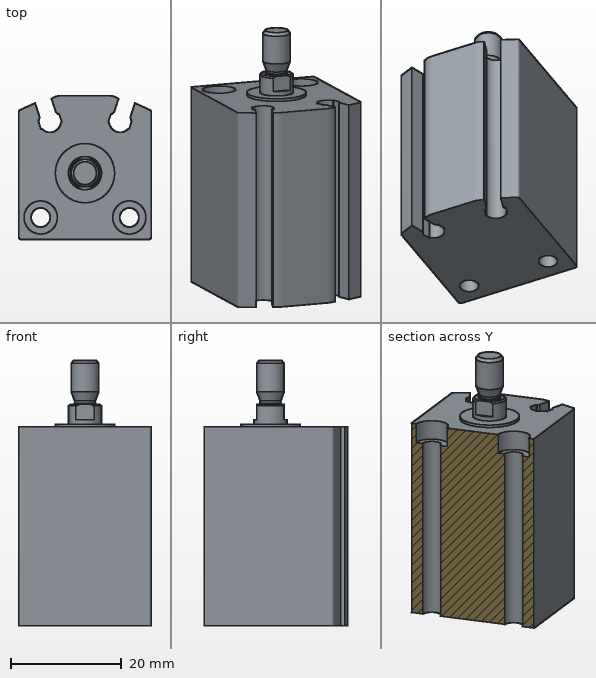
import cadquery as cq
import math

total_height = 48.0
housing_height = 36.0
width = 24.0
half_width = width / 2
front_y = -half_width
back_y = 14.0
corner_radius = 0.5

shoulder_start_y = 11.35
shoulder_angle = 24.5
crown_flat_half_width = 4.3
crown_corner_radius = 3.0
crown_corner_angle = 35.0

slot_x = 6.35
slot_y = 9.35
slot_lean = 18.0
slot_width = 3.95
slot_lip_height = 0.8
slot_mouth_width = 3.0
slot_mouth_length = 5.75

mount_offset = 8.0
mount_hole_diameter = 3.4
counterbore_diameter = 6.0
counterbore_depth = 3.5

collar_diameter = 10.7
collar_height = 0.5

rod_diameter = 6.0
rod_shoulder_z = 40.05
rod_chamfer = 0.3
flat_distance = 5.0
flat_bottom_z = 37.3
neck_root_diameter = 4.15
neck_diameter = 3.8
neck_bottom_z = 40.25
neck_top_z = 40.65
thread_diameter = 5.0
thread_bottom_z = 42.3
thread_end_diameter = 4.15
thread_chamfer_height = 0.6


def housing_block():
    """Extruded outline, symmetric about the YZ plane, with four rounded side corners."""
    half_angle = math.radians(crown_corner_angle / 2)
    full_angle = math.radians(crown_corner_angle)
    arc_center_y = back_y - crown_corner_radius
    arc_mid_x = crown_flat_half_width + crown_corner_radius * math.sin(half_angle)
    arc_mid_y = arc_center_y + crown_corner_radius * math.cos(half_angle)
    arc_end_x = crown_flat_half_width + crown_corner_radius * math.sin(full_angle)
    arc_end_y = arc_center_y + crown_corner_radius * math.cos(full_angle)
    shoulder_end_x = slot_x + slot_mouth_width / 2
    shoulder_rise = (half_width - shoulder_end_x) * math.tan(math.radians(shoulder_angle))
    shoulder_end_y = shoulder_start_y + shoulder_rise
    block = (
        cq.Workplane("XY")
        .moveTo(-half_width, front_y)
        .lineTo(half_width, front_y)
        .lineTo(half_width, shoulder_start_y)
        .lineTo(shoulder_end_x, shoulder_end_y)
        .lineTo(arc_end_x, arc_end_y)
        .threePointArc((arc_mid_x, arc_mid_y), (crown_flat_half_width, back_y))
        .lineTo(-crown_flat_half_width, back_y)
        .threePointArc((-arc_mid_x, arc_mid_y), (-arc_end_x, arc_end_y))
        .lineTo(-shoulder_end_x, shoulder_end_y)
        .lineTo(-half_width, shoulder_start_y)
        .close()
        .extrude(housing_height)
    )
    return block.edges("|Z and (<X or >X)").fillet(corner_radius)


def slot_cutter(side):
    """Round-bottomed slot with a narrower mouth; side is -1 or 1."""
    pocket = cq.Workplane("XY").circle(slot_width / 2).extrude(housing_height)
    walls = (
        cq.Workplane("XY")
        .rect(slot_width, 2 * slot_lip_height)
        .extrude(housing_height)
    )
    mouth = (
        cq.Workplane("XY")
        .center(0, slot_mouth_length / 2)
        .rect(slot_mouth_width, slot_mouth_length)
        .extrude(housing_height)
    )
    cutter = pocket.union(walls).union(mouth)
    cutter = cutter.rotate((0, 0, 0), (0, 0, 1), -side * slot_lean)
    return cutter.translate((side * slot_x, slot_y, 0))


def make_housing():
    body = housing_block()
    for side in (-1, 1):
        body = body.cut(slot_cutter(side))
    body = (
        body.faces(">Z")
        .workplane(origin=(0, 0, housing_height))
        .pushPoints([(-mount_offset, -mount_offset), (mount_offset, -mount_offset)])
        .cboreHole(mount_hole_diameter, counterbore_diameter, counterbore_depth)
    )
    collar = (
        cq.Workplane("XY", origin=(0, 0, housing_height))
        .circle(collar_diameter / 2)
        .circle(rod_diameter / 2)
        .extrude(collar_height)
    )
    return body.union(collar)


def make_rod():
    rod_radius = rod_diameter / 2
    profile = [
        (0, housing_height),
        (rod_radius, housing_height),
        (rod_radius, rod_shoulder_z - rod_chamfer),
        (rod_radius - rod_chamfer, rod_shoulder_z),
        (neck_root_diameter / 2, rod_shoulder_z),
        (neck_diameter / 2, neck_bottom_z),
        (neck_diameter / 2, neck_top_z),
        (thread_diameter / 2, thread_bottom_z),
        (thread_diameter / 2, total_height - thread_chamfer_height),
        (thread_end_diameter / 2, total_height),
        (0, total_height),
    ]
    rod = cq.Workplane("XZ").polyline(profile).close().revolve(360, (0, 0, 0), (0, 1, 0))

    flat_region = (
        cq.Workplane("XY", origin=(0, 0, flat_bottom_z))
        .rect(rod_diameter, rod_diameter)
        .rect(rod_diameter, flat_distance)
        .extrude(rod_shoulder_z - flat_bottom_z)
    )
    return rod.cut(flat_region)


housing = make_housing()
rod = make_rod()

result = cq.Compound.makeCompound([housing.val(), rod.val()])